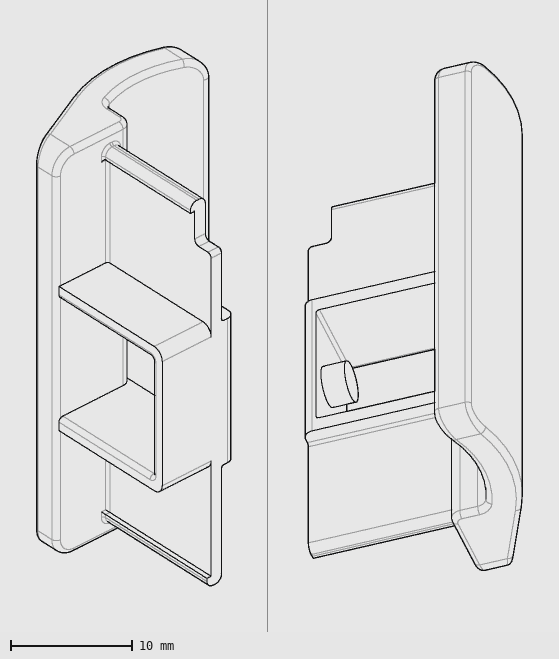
import cadquery as cq
import math

LENGTH_X = 20.0
DEPTH_Y = 19.4
HEIGHT_Z = 40.33

GRIP_BACK_X = 7.26
GRIP_SHOULDER_Y = 8.42
GRIP_OUTER_RADIUS = 13.3
GRIP_THICKNESS = 3.0
GRIP_CENTRE_Y = 12.95
FLANK_ANGLE = 25.5
SHOULDER_RADIUS = 1.0
GRIP_CORNER_RADIUS = 2.0
GRIP_EDGE_RADIUS = 0.5

WEB_FRONT_Y = 5.75
WEB_BACK_Y = 6.92
WEB_HALF_HEIGHT = 18.7
BEAD_FRONT_Y = 5.28
BEAD_HEIGHT = 1.0
BEAD_RADIUS = 0.7
WEB_ROOT_RADIUS = 0.25

NOTCH_X = 17.98
NOTCH_Z = 14.45
NOTCH_INNER_RADIUS = 0.5
NOTCH_OUTER_RADIUS = 0.4

BOX_FRONT_Y = 0.35
BOX_HALF_HEIGHT = 7.2
BOX_CORNER_RADIUS = 1.0
BOX_REAR_RADIUS = 0.85
BOX_REAR_FILLET = 0.25
WINDOW_HALF_HEIGHT = 5.93
WINDOW_END_X = 18.8
WINDOW_CORNER_RADIUS = 0.3
WINDOW_LIP_RADIUS = 0.42

PIN_DIAMETER = 3.5
PIN_TIP_X = 16.75
PIN_Y = 5.45

OVERLAP = 1.0


def block(x_range, y_range, z_range):
    """Axis-aligned block between pairs of limits."""
    size = [high - low for low, high in (x_range, y_range, z_range)]
    return cq.Workplane("XY").box(*size, centered=False).translate((x_range[0], y_range[0], z_range[0]))


def grip_profile():
    """Outline of the grip in the XY plane, before its edges are rounded."""
    centre_x = GRIP_OUTER_RADIUS
    inner_radius = GRIP_OUTER_RADIUS - GRIP_THICKNESS

    def arc_point(radius, y):
        return centre_x - math.sqrt(radius**2 - (y - GRIP_CENTRE_Y) ** 2), y

    flank = math.radians(FLANK_ANGLE)
    tangent_x, tangent_y = arc_point(
        GRIP_OUTER_RADIUS, GRIP_CENTRE_Y - GRIP_OUTER_RADIUS * math.sin(flank)
    )
    flank_foot_x = tangent_x + tangent_y * math.tan(flank)

    shoulder_y = GRIP_SHOULDER_Y + SHOULDER_RADIUS
    shoulder_x, _ = arc_point(inner_radius - SHOULDER_RADIUS, shoulder_y)
    reach = inner_radius / (inner_radius - SHOULDER_RADIUS)
    blend_x = centre_x + (shoulder_x - centre_x) * reach
    blend_y = GRIP_CENTRE_Y + (shoulder_y - GRIP_CENTRE_Y) * reach
    blend_angle = math.atan2(blend_y - shoulder_y, blend_x - shoulder_x) % (2 * math.pi)
    middle_angle = (blend_angle + 1.5 * math.pi) / 2
    blend_middle = (
        shoulder_x + SHOULDER_RADIUS * math.cos(middle_angle),
        shoulder_y + SHOULDER_RADIUS * math.sin(middle_angle),
    )

    corner_offset = SHOULDER_RADIUS * (1 - math.sqrt(0.5))
    return (
        cq.Workplane("XY")
        .moveTo(flank_foot_x, 0)
        .lineTo(tangent_x, tangent_y)
        .threePointArc((0, GRIP_CENTRE_Y), arc_point(GRIP_OUTER_RADIUS, DEPTH_Y))
        .lineTo(*arc_point(inner_radius, DEPTH_Y))
        .threePointArc((GRIP_THICKNESS, GRIP_CENTRE_Y), (blend_x, blend_y))
        .threePointArc(blend_middle, (shoulder_x, GRIP_SHOULDER_Y))
        .lineTo(GRIP_BACK_X - SHOULDER_RADIUS, GRIP_SHOULDER_Y)
        .threePointArc(
            (GRIP_BACK_X - corner_offset, GRIP_SHOULDER_Y - corner_offset),
            (GRIP_BACK_X, GRIP_SHOULDER_Y - SHOULDER_RADIUS),
        )
        .lineTo(GRIP_BACK_X, 0)
        .close()
    )


def make_grip():
    """Grip with rounded corners and softened edges all round."""
    body = grip_profile().extrude(HEIGHT_Z / 2, both=True)
    corner_envelope = (
        block((0, LENGTH_X), (0, DEPTH_Y), (-HEIGHT_Z / 2, HEIGHT_Z / 2))
        .edges("|X")
        .fillet(GRIP_CORNER_RADIUS)
    )
    body = body.intersect(corner_envelope)
    return body.edges("|Z and <Y").fillet(GRIP_EDGE_RADIUS)


def make_bead(side):
    """Rounded bead on the top (side = 1) or bottom (side = -1) edge of the web."""
    outer_z = side * WEB_HALF_HEIGHT
    inner_z = side * (WEB_HALF_HEIGHT - BEAD_HEIGHT)
    bead = block(
        (GRIP_BACK_X - OVERLAP, LENGTH_X),
        (BEAD_FRONT_Y, WEB_BACK_Y),
        (min(inner_z, outer_z), max(inner_z, outer_z)),
    )
    outer_face = ">Z" if side > 0 else "<Z"
    return bead.faces(outer_face).edges("|X").fillet(BEAD_RADIUS)


def make_web():
    """Web with both beads and the corner notch."""
    inner_height = WEB_HALF_HEIGHT - BEAD_HEIGHT
    web = block(
        (GRIP_BACK_X - OVERLAP, LENGTH_X),
        (WEB_FRONT_Y, WEB_BACK_Y),
        (-inner_height, inner_height),
    )
    for side in (1, -1):
        web = web.union(make_bead(side))
    notch = (
        block((NOTCH_X, LENGTH_X + OVERLAP), (0, DEPTH_Y), (NOTCH_Z, HEIGHT_Z))
        .edges("<X and <Z")
        .fillet(NOTCH_INNER_RADIUS)
    )
    web = web.cut(notch)
    notch_lip = cq.selectors.BoxSelector(
        (LENGTH_X - NOTCH_OUTER_RADIUS, 0, NOTCH_Z - NOTCH_OUTER_RADIUS),
        (LENGTH_X + NOTCH_OUTER_RADIUS, DEPTH_Y, NOTCH_Z + NOTCH_OUTER_RADIUS),
    )
    return web.edges("|Y").edges(notch_lip).fillet(NOTCH_OUTER_RADIUS)


def make_box():
    """Box frame: rounded corners ahead of the web, a square rear flange behind it."""
    x_range = (GRIP_BACK_X - OVERLAP, LENGTH_X)
    z_range = (-BOX_HALF_HEIGHT, BOX_HALF_HEIGHT)
    front = block(x_range, (BOX_FRONT_Y, WEB_BACK_Y), z_range)
    front = front.edges("|Y and >X").fillet(BOX_CORNER_RADIUS)
    rear = block(x_range, (WEB_BACK_Y, GRIP_SHOULDER_Y), z_range)
    rear = rear.edges("|Z and >X and >Y").fillet(BOX_REAR_RADIUS)
    return front.union(rear)


def make_frame():
    """Web and box joined, with a small fillet where the rear flange leaves the web."""
    frame = make_web().union(make_box())
    margin = BOX_REAR_FILLET / 2
    flange_roots = cq.selectors.BoxSelector(
        (0, WEB_BACK_Y - margin, -BOX_HALF_HEIGHT - margin),
        (LENGTH_X, WEB_BACK_Y + margin, BOX_HALF_HEIGHT + margin),
    )
    return frame.edges("|X").edges(flange_roots).fillet(BOX_REAR_FILLET)


def make_window(start_x):
    """Tool for the window, open toward the grip at start_x."""
    window = block(
        (start_x, WINDOW_END_X),
        (BOX_FRONT_Y, DEPTH_Y),
        (-WINDOW_HALF_HEIGHT, WINDOW_HALF_HEIGHT),
    )
    return window.edges("|Y and >X").fillet(WINDOW_CORNER_RADIUS)


def cut_window(frame):
    """Cut the window through the frame and round its front rim."""
    margin = WINDOW_LIP_RADIUS / 2
    front_rim = cq.selectors.BoxSelector(
        (GRIP_BACK_X, BOX_FRONT_Y - margin, -WINDOW_HALF_HEIGHT - margin),
        (WINDOW_END_X + margin, BOX_FRONT_Y + margin, WINDOW_HALF_HEIGHT + margin),
    )
    opened = frame.cut(make_window(GRIP_BACK_X - OVERLAP))
    return opened.edges(front_rim).fillet(WINDOW_LIP_RADIUS)


def make_rooted_grip():
    """Grip joined to the web with a concave fillet, then opened at the window."""
    margin = WEB_ROOT_RADIUS / 2
    web_root = cq.selectors.BoxSelector(
        (GRIP_BACK_X - margin, BEAD_FRONT_Y - margin, -WEB_HALF_HEIGHT - margin),
        (GRIP_BACK_X + margin, WEB_BACK_Y + margin, WEB_HALF_HEIGHT + margin),
    )
    joined = make_grip().union(make_web())
    return joined.edges(web_root).fillet(WEB_ROOT_RADIUS).cut(make_window(GRIP_BACK_X))


def make_pin():
    """Round pin that points from the end wall of the window toward the grip."""
    return (
        cq.Workplane("YZ", origin=(PIN_TIP_X, PIN_Y, 0))
        .circle(PIN_DIAMETER / 2)
        .extrude((WINDOW_END_X + LENGTH_X) / 2 - PIN_TIP_X)
    )


result = make_rooted_grip().union(cut_window(make_frame())).union(make_pin())